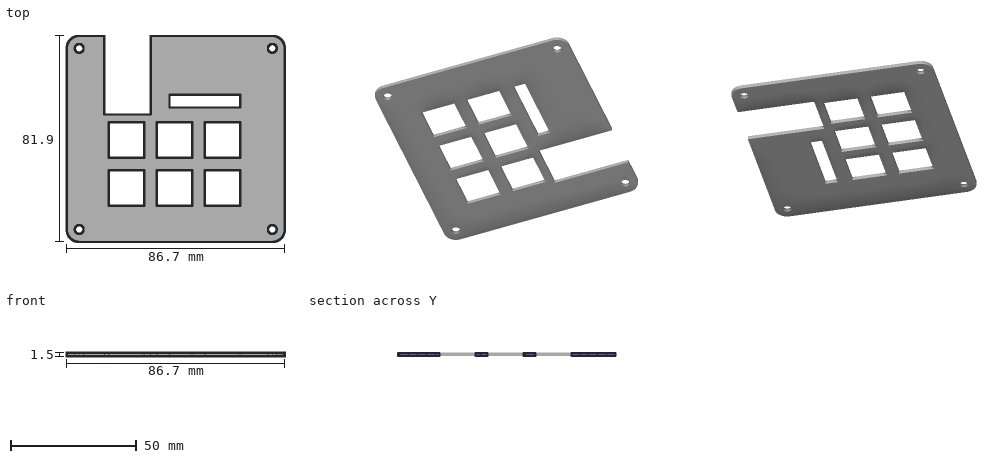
import cadquery as cq

plate_length = 86.67
plate_width = 81.91
plate_thickness = 1.5
corner_radius = 5.0

mount_hole_diameter = 3.4
mount_spacing_x = plate_length - 2 * corner_radius
mount_spacing_y = plate_width - 2 * corner_radius

key_size = 14.0
key_pitch = 19.05
key_columns = 3
key_rows = 2
key_grid_center_x = -0.5
key_grid_center_y = -10.0

notch_left = -28.3
notch_width = 18.3
notch_depth = 31.2

slot_length = 28.0
slot_width = 5.0
slot_center_y = 15.0
slot_right = key_grid_center_x + (key_columns - 1) * key_pitch / 2 + key_size / 2


def make_plate():
    """Rounded plate with its underside on Z = 0."""
    return (
        cq.Workplane("XY")
        .box(plate_length, plate_width, plate_thickness, centered=(True, True, False))
        .edges("|Z")
        .fillet(corner_radius)
    )


def through_rectangle(length, width, center_x, center_y):
    """Rectangular cutter spanning the plate thickness."""
    return (
        cq.Workplane("XY")
        .center(center_x, center_y)
        .rect(length, width)
        .extrude(plate_thickness)
    )


def make_mount_holes():
    return (
        cq.Workplane("XY")
        .rect(mount_spacing_x, mount_spacing_y, forConstruction=True)
        .vertices()
        .circle(mount_hole_diameter / 2)
        .extrude(plate_thickness)
    )


def make_key_openings():
    return (
        cq.Workplane("XY")
        .center(key_grid_center_x, key_grid_center_y)
        .rarray(key_pitch, key_pitch, key_columns, key_rows)
        .rect(key_size, key_size)
        .extrude(plate_thickness)
    )


def make_notch():
    center_x = notch_left + notch_width / 2
    center_y = plate_width / 2 - notch_depth / 2
    return through_rectangle(notch_width, notch_depth, center_x, center_y)


def make_slot():
    return through_rectangle(slot_length, slot_width, slot_right - slot_length / 2, slot_center_y)


result = (
    make_plate()
    .cut(make_mount_holes())
    .cut(make_key_openings())
    .cut(make_notch())
    .cut(make_slot())
)